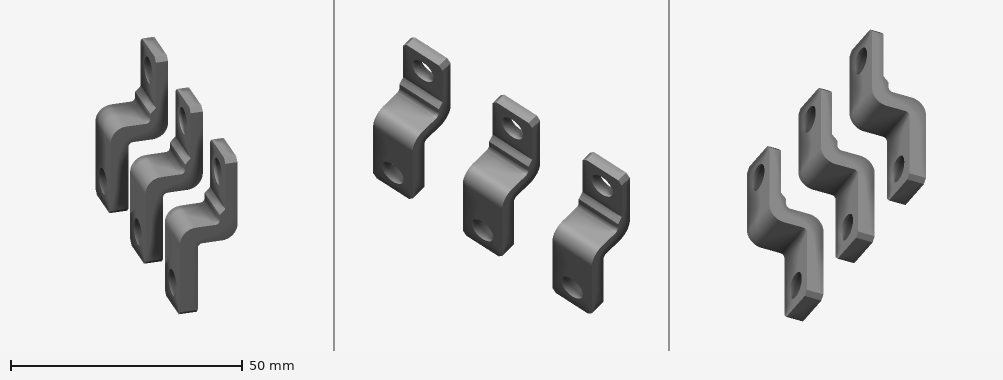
import cadquery as cq

strap_count = 3
strap_pitch = 25.0
strap_width = 11.0
strap_height = 36.5
strap_depth = 13.0

leg_thickness = 4.0
tab_thickness = 2.75
web_thickness = leg_thickness
web_top_drop = 15.5
outer_bend_radius = 3.5
inner_bend_radius = 1.0
step_land_height = 1.25

hole_diameter = 6.0
hole_end_distance = 5.5
corner_chamfer = 1.0

back_y = strap_depth
leg_back_y = leg_thickness
step_front_y = back_y - leg_thickness
tab_front_y = back_y - tab_thickness
web_top_z = strap_height - web_top_drop
web_bottom_z = web_top_z - web_thickness
step_bottom_z = web_top_z + inner_bend_radius + step_land_height
step_top_z = step_bottom_z + leg_thickness - tab_thickness
hole_heights = (hole_end_distance, strap_height - hole_end_distance)


def round_bend(body, y, z, radius):
    """Round the full-width edge that runs along X through (y, z)."""
    edge = cq.selectors.NearestToPointSelector((strap_width / 2, y, z))
    return body.edges("|X").edges(edge).fillet(radius)


def make_strap():
    """Build one strap with its lower front corner at the origin."""
    strap = (
        cq.Workplane("YZ")
        .polyline([
            (0, 0),
            (leg_back_y, 0),
            (leg_back_y, web_bottom_z),
            (back_y, web_bottom_z),
            (back_y, strap_height),
            (tab_front_y, strap_height),
            (tab_front_y, step_top_z),
            (step_front_y, step_bottom_z),
            (step_front_y, web_top_z),
            (0, web_top_z),
        ])
        .close()
        .extrude(strap_width)
    )

    strap = round_bend(strap, 0, web_top_z, outer_bend_radius)
    strap = round_bend(strap, back_y, web_bottom_z, outer_bend_radius)
    strap = round_bend(strap, step_front_y, web_top_z, inner_bend_radius)
    strap = round_bend(strap, leg_back_y, web_bottom_z, inner_bend_radius)

    strap = strap.faces("<Z or >Z").edges("|Y").chamfer(corner_chamfer)

    hole_cutters = (
        cq.Workplane("XZ", origin=(0, back_y, 0))
        .pushPoints([(strap_width / 2, z) for z in hole_heights])
        .circle(hole_diameter / 2)
        .extrude(strap_depth)
    )
    return strap.cut(hole_cutters)


straps = []
for index in range(strap_count):
    straps.append(make_strap().translate((index * strap_pitch, 0, 0)))

result = cq.Compound.makeCompound([strap.val() for strap in straps])